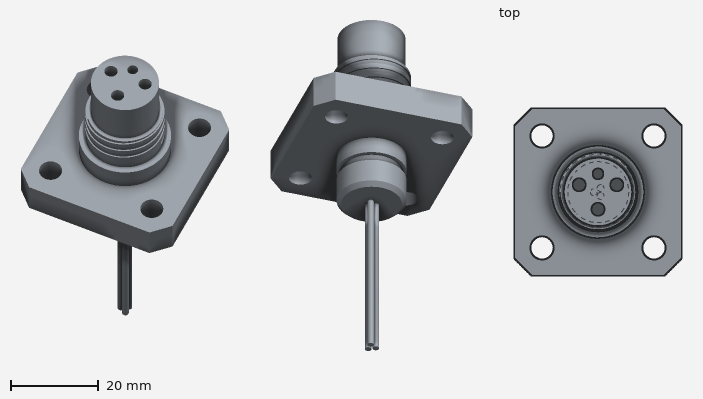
import cadquery as cq

wire_length = 39.85
plug_chamfer = 1.0
groove_bottom = 46.6
groove_top = 48.8
flange_bottom = 52.8
flange_top = 60.6
collar_top = 65.7
thread_top = 75.1
total_height = 85.7

plug_diameter = 15.9
groove_diameter = 13.9
collar_diameter = 21.0
thread_diameter = 18.0
nose_diameter = 15.5

flange_side = 38.1
corner_cut = 3.9
bolt_spacing = 25.45
bolt_hole_diameter = 5.2

thread_pitch = 2.5
thread_depth = 0.3
thread_start = 68.0
groove_width = thread_pitch / 2
cutter_overlap = 0.4

socket_diameter = 3.0
side_socket_x = 4.3
side_socket_y = 1.6
lower_socket_y = -3.9
key_diameter = 2.5
key_y = 4.1
socket_depth = total_height - thread_top

wire_diameter = 1.5
wire_embed = 0.85
wire_positions = [(-1.0, 0), (0.5, 0.9), (0.5, -0.85)]


def cylinder(diameter, bottom, top):
    return cq.Workplane("XY").workplane(offset=bottom).circle(diameter / 2).extrude(top - bottom)


def make_flange():
    return (
        cq.Workplane("XY")
        .workplane(offset=flange_bottom)
        .rect(flange_side, flange_side)
        .extrude(flange_top - flange_bottom)
        .edges("|Z")
        .chamfer(corner_cut)
        .faces(">Z")
        .workplane()
        .rect(bolt_spacing, bolt_spacing, forConstruction=True)
        .vertices()
        .hole(bolt_hole_diameter)
    )


def make_plug():
    lower = cylinder(plug_diameter, wire_length, groove_bottom).faces("<Z").chamfer(plug_chamfer)
    neck = cylinder(groove_diameter, groove_bottom, groove_top)
    upper = cylinder(plug_diameter, groove_top, flange_bottom)
    return lower.union(neck).union(upper)


def make_thread():
    """Cylinder with a right-handed square groove that runs out of its upper end."""
    helix_top = thread_top + groove_width
    blank_top = helix_top + thread_pitch
    blank = cylinder(thread_diameter, collar_top, blank_top)
    root_radius = thread_diameter / 2 - thread_depth
    helix = cq.Wire.makeHelix(
        thread_pitch, helix_top - thread_start, root_radius, cq.Vector(0, 0, thread_start)
    )
    cutter_depth = thread_depth + cutter_overlap
    cutter = (
        cq.Workplane("XZ")
        .center(root_radius + cutter_depth / 2, thread_start)
        .rect(cutter_depth, groove_width)
        .sweep(cq.Workplane(helix), isFrenet=True)
    )
    excess = cylinder(collar_diameter, thread_top, blank_top)
    return blank.cut(cutter).cut(excess)


def make_nose():
    """Plain cylinder with three contact holes and one smaller key hole in its end face."""
    socket_positions = [
        (-side_socket_x, side_socket_y),
        (side_socket_x, side_socket_y),
        (0, lower_socket_y),
    ]
    face = cylinder(nose_diameter, thread_top, total_height).faces(">Z").workplane()
    nose = face.pushPoints(socket_positions).hole(socket_diameter, socket_depth)
    return nose.faces(">Z").workplane(origin=(0, key_y, total_height)).hole(key_diameter, socket_depth)


def make_wires():
    top = wire_length + wire_embed
    return cq.Workplane("XY").pushPoints(wire_positions).circle(wire_diameter / 2).extrude(top)


collar = cylinder(collar_diameter, flange_top, collar_top)
result = make_flange().union(make_plug()).union(collar)
result = result.union(make_thread()).union(make_nose()).union(make_wires())